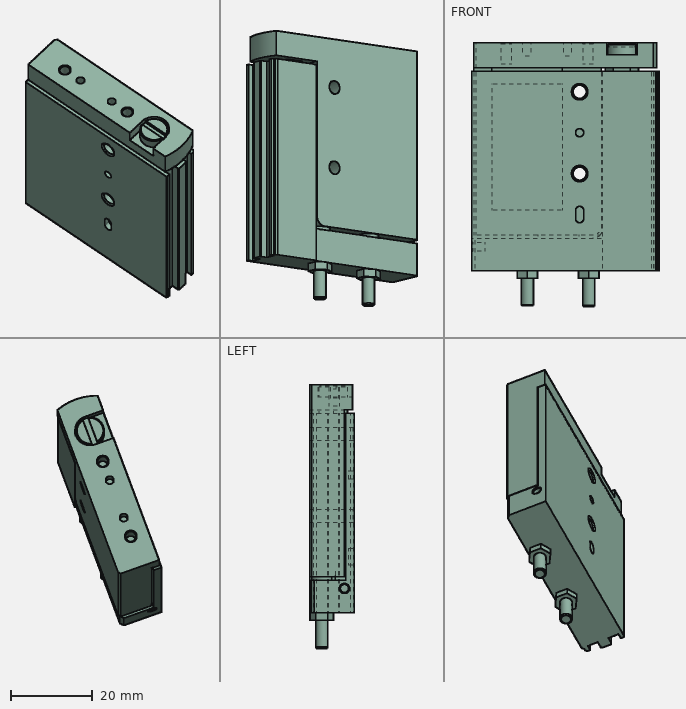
import cadquery as cq
import math


total_height = 64.7
total_depth = 11
housing_bottom = 8.8
housing_top = 57.7
gap = 0.85
slide_head_bottom = housing_top + gap
foot_top = 16.8
slide_bottom = foot_top + gap

plate_width = 45.35
plate_thickness = 2.1
foot_depth = 10.6
foot_chamfer = 0.8
column_left = 32.0
column_corner = 0.45
groove_floor = 44.0
front_lip = 1.05
ridge_front = 3.75
ridge_back = 6.65
ridge_tip = 46.0
ridge_chamfer = 0.25
back_lip = 9.3
inner_radius = 2.4
inner_fillet_back = 4.65

pitch = 10.0
hole_row_x = 26.45
upper_hole_z = 52.65
bolt_hole_diameter = 3.25
bolt_hole_mouth = 4.0
dowel_diameter = 2.0
dowel_depth = 1.55
dowel_slot_length = 2 * dowel_diameter

port_y = 2.45
port_z = 14.75
port_diameter = 2.0
port_mouth = 2.45
port_depth = 3.25

bolt_y = 8.0
bolt_left_x = 13.65
bolt_spacing = 1.5 * pitch
bolt_diameter = 3.05
bolt_tip_chamfer = 0.3
short_bolt_rise = 0.2
bumper_diameter = 5.0
nut_across_corners = 5.8
nut_height = 1.9

slide_left = 0.45
slide_front = 0.45
slide_flat_right = 44.45
slide_right = 45.4
slide_chamfer = 0.5
table_front = 2.45
table_right = 31.8
column_clearance = column_left - table_right

guide_left = 5.0
guide_right = 22.25
guide_front = 1.7
pad_bottom = 23.8
pad_top = 54.7

top_hole_y = 5.0
top_hole_first_x = 8.4
thread_diameter = 2.5
thread_mouth = 3.0
top_hole_depth = 5.2
top_dowel_depth = 3.25

screw_x = 36.8
screw_y = 5.25
pocket_width = 7.45
pocket_floor = 61.7
head_diameter = 6.9
head_top = 64.45
head_chamfer = 0.25
driver_slot_width = 1.4
driver_slot_depth = 0.8
adjuster_across_corners = 8.2


def box(x0, x1, y0, y1, z0, z1):
    """Box between two corner points."""
    return cq.Workplane("XY").box(x1 - x0, y1 - y0, z1 - z0, centered=False).translate((x0, y0, z0))


def upright_cylinder(x, y, z0, z1, diameter):
    return cq.Workplane("XY", origin=(x, y, z0)).circle(diameter / 2).extrude(z1 - z0)


def upright_hex(x, y, z0, z1, across_corners, turn):
    """Hexagonal prism; turn is the angle of its first corner from +X."""
    prism = cq.Workplane("XY").polygon(6, across_corners).extrude(z1 - z0)
    return prism.rotate((0, 0, 0), (0, 0, 1), turn).translate((x, y, z0))


def countersunk_hole(point, direction, diameter, mouth, depth):
    """Tool for a round hole with a 45 degree chamfer at its mouth, starting at point along direction."""
    start = cq.Vector(*point)
    along = cq.Vector(*direction)
    chamfer = (mouth - diameter) / 2
    bore = cq.Solid.makeCylinder(diameter / 2, depth, start, along)
    cone = cq.Solid.makeCone(mouth / 2, diameter / 2, chamfer, start, along)
    return cq.Workplane(bore.fuse(cone))


def column_profile():
    """Right-hand column with two sensor grooves either side of a central ridge."""
    return [
        (column_left, 0),
        (plate_width - ridge_chamfer, 0),
        (plate_width, ridge_chamfer),
        (plate_width, front_lip),
        (groove_floor, front_lip),
        (groove_floor, ridge_front),
        (ridge_tip - ridge_chamfer, ridge_front),
        (ridge_tip, ridge_front + ridge_chamfer),
        (ridge_tip, ridge_back - ridge_chamfer),
        (ridge_tip - ridge_chamfer, ridge_back),
        (groove_floor, ridge_back),
        (groove_floor, back_lip),
        (plate_width, back_lip),
        (plate_width, total_depth - 2 * column_corner),
        (plate_width - column_corner, total_depth - column_corner),
        (slide_flat_right, total_depth - column_corner),
        (slide_flat_right - column_corner, total_depth),
        (column_left, total_depth),
    ]


def inner_corner(radius, corner_x, corner_z, y0, y1):
    """Concave fillet filling the corner below and right of an open space."""
    diagonal = radius * (1 - math.sqrt(0.5))
    return (
        cq.Workplane("XZ", origin=(0, y1, 0))
        .moveTo(corner_x, corner_z)
        .lineTo(corner_x, corner_z + radius)
        .threePointArc((corner_x - diagonal, corner_z + diagonal), (corner_x - radius, corner_z))
        .close()
        .extrude(y1 - y0)
    )


def stop_bolt(x, tip_z):
    """End-stop bolt with lock nut below the foot and bumper above it."""
    shank = upright_cylinder(x, bolt_y, tip_z, foot_top, bolt_diameter).faces("<Z").chamfer(bolt_tip_chamfer)
    nut = upright_hex(x, bolt_y, housing_bottom - nut_height, housing_bottom, nut_across_corners, 90)
    bumper = upright_cylinder(x, bolt_y, foot_top, slide_bottom, bumper_diameter)
    return shank.union(nut).union(bumper)


def make_housing():
    body = box(0, column_left, 0, plate_thickness, housing_bottom, housing_top)
    foot = box(0, column_left, 0, foot_depth, housing_bottom, foot_top)
    foot = foot.edges("|Z and <X and >Y").chamfer(foot_chamfer)
    column = (
        cq.Workplane("XY", origin=(0, 0, housing_bottom))
        .polyline(column_profile())
        .close()
        .extrude(housing_top - housing_bottom)
    )
    pad = box(guide_left, guide_right, 0, table_front, pad_bottom, pad_top)
    fillet = inner_corner(inner_radius, column_left, foot_top, 0, inner_fillet_back)
    body = body.union(foot).union(column).union(pad).union(fillet)

    for step in (0, 2):
        point = (hole_row_x, 0, upper_hole_z - step * pitch)
        hole = countersunk_hole(point, (0, 1, 0), bolt_hole_diameter, bolt_hole_mouth, plate_thickness)
        body = body.cut(hole)
    row = cq.Workplane("XZ", origin=(hole_row_x, 0, upper_hole_z))
    dowel_hole = row.center(0, -pitch).circle(dowel_diameter / 2).extrude(-dowel_depth)
    dowel_slot = row.center(0, -3 * pitch).slot2D(dowel_slot_length, dowel_diameter, 90).extrude(-dowel_depth)
    body = body.cut(dowel_hole).cut(dowel_slot)

    body = body.cut(countersunk_hole((0, port_y, port_z), (1, 0, 0), port_diameter, port_mouth, port_depth))

    body = body.union(stop_bolt(bolt_left_x, short_bolt_rise))
    return body.union(stop_bolt(bolt_left_x + bolt_spacing, 0))


def slide_head():
    """Top block of the slide, bowed at its right end."""
    return (
        cq.Workplane("XY", origin=(0, 0, slide_head_bottom))
        .moveTo(slide_left, slide_front)
        .lineTo(slide_flat_right, slide_front)
        .threePointArc((slide_right, (slide_front + total_depth) / 2), (slide_flat_right, total_depth))
        .lineTo(slide_left + slide_chamfer, total_depth)
        .lineTo(slide_left, total_depth - slide_chamfer)
        .close()
        .extrude(total_height - slide_head_bottom)
    )


def screw_pocket():
    """Round-backed pocket open to the front of the slide head."""
    left = screw_x - pocket_width / 2
    right = screw_x + pocket_width / 2
    round_back = upright_cylinder(screw_x, screw_y, pocket_floor, total_height, pocket_width)
    return round_back.union(box(left, right, 0, screw_y, pocket_floor, total_height))


def adjuster_screw():
    """Slotted screw head in the pocket and the hexagon below the slide head."""
    head = upright_cylinder(screw_x, screw_y, pocket_floor, head_top, head_diameter)
    head = head.faces(">Z").chamfer(head_chamfer)
    reach = head_diameter / 2
    half_slot = driver_slot_width / 2
    slot = box(screw_x - reach, screw_x + reach, screw_y - half_slot, screw_y + half_slot,
               head_top - driver_slot_depth, head_top)
    hexagon = upright_hex(screw_x, screw_y, housing_top, slide_head_bottom, adjuster_across_corners, 0)
    return head.cut(slot), hexagon


def make_slide():
    table = box(slide_left, table_right, table_front, total_depth, slide_bottom, slide_head_bottom)
    table = table.edges("|Z and <X and >Y").chamfer(slide_chamfer)
    table = table.edges("|Y and >X and <Z").fillet(inner_radius - column_clearance)
    guide = box(guide_left, guide_right, guide_front, table_front, housing_top, slide_head_bottom)
    body = slide_head().union(table).union(guide).cut(screw_pocket())

    half_pitch = pitch / 2
    for x in (top_hole_first_x, top_hole_first_x + 2 * pitch):
        point = (x, top_hole_y, total_height)
        body = body.cut(countersunk_hole(point, (0, 0, -1), thread_diameter, thread_mouth, top_hole_depth))
    for x in (top_hole_first_x + half_pitch, top_hole_first_x + 3 * half_pitch):
        hole_floor = total_height - top_dowel_depth
        body = body.cut(upright_cylinder(x, top_hole_y, hole_floor, total_height, dowel_diameter))

    for step in (0, 2):
        level = upper_hole_z - step * pitch
        access = cq.Workplane("XZ", origin=(hole_row_x, table_front, level)).circle(bolt_hole_diameter / 2)
        body = body.cut(access.extrude(table_front - total_depth))

    head, hexagon = adjuster_screw()
    return body.union(head).union(hexagon)


housing = make_housing()
slide = make_slide()
result = cq.Compound.makeCompound([housing.solids().val(), slide.solids().val()])